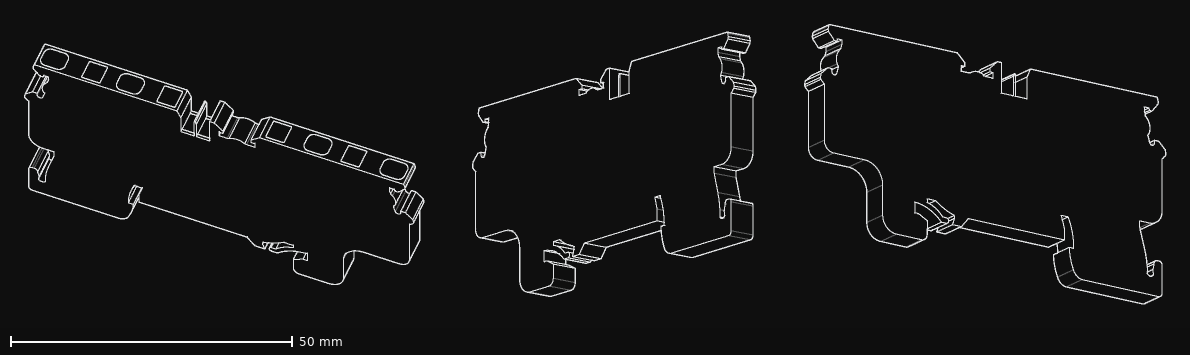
import cadquery as cq

LENGTH = 74.7
THICKNESS = 5.0
HEIGHT = 37.4

SIDE_X = 36.5
TOP_END_X = 35.7
CORE_X = 31.4
LATCH_Z = 26.0
SHOULDER_Z = 13.45
RAIL_Z = 6.7
LUG_Z = 4.9
LEFT_SHOULDER_R = 2.7
RIGHT_SHOULDER_R = 2.0

TOP_CORNER = 0.3
NOSE_TIP_X = LENGTH / 2
NOSE_TIP_Z = 27.1
NOSE_TOP_Z = 29.2
NOSE_TOP_WIDTH = 0.9
NOSE_INNER_X = 34.9
NOSE_GROOVE_Z = 28.15
LATCH_NOTCH_X = 32.7
LATCH_NOTCH_TOP_Z = 35.0
BUMP_X = 33.9
BUMP_LOW_Z = 30.3
BUMP_HIGH_Z = 32.95
LIP_X = 33.7
LIP_WIDTH = 0.7
LIP_Z = 34.6
OVERHANG_Z = 36.1

SLOT_LEFT_X = -7.3
SLOT_RIGHT_X = -1.8
SLOT_FLOOR_Z = 31.7
SLOT_LEAD_IN_X = 0.75
SLOT_LEAD_IN_Z = 1.65
BLADE_LEFT_X = -4.8
BLADE_WIDTH = 0.45
BLADE_TIP_Z = 35.85
BLADE_TIP_DROP = 0.5

GROOVE_MID_X = 3.4
GROOVE_FLOOR_Z = 34.15
GROOVE_HALF = 3.4
GROOVE_LIP_HALF = 2.7
GROOVE_MOUTH_HALF = 4.3
GROOVE_LIP_LOW_Z = 35.2
GROOVE_LIP_HIGH_Z = 35.85
SADDLE_HALF = 1.5
SADDLE_FOOT_HALF = 1.9
SADDLE_FOOT_RISE = 0.1
SADDLE_RISE = 0.6

FOOT_OVERLAP_Z = SHOULDER_Z + 1.5
LEFT_NECK_X = -31.7
HOOK_GROOVE_X = -33.3
HOOK_GROOVE_Z = 3.5
HOOK_CORNER_R = 0.7
SOLE_CORNER_R = 0.75
CLAW_X = -16.4
CLAW_DEPTH = 1.0
CLAW_Z = 5.5
RELIEF_LEFT_X = -16.2
RELIEF_RIGHT_X = -14.7
RELIEF_Z = 11.2
RAIL_LEFT_X = -15.4
LUG_LEFT_X = 6.9
LUG_RIGHT_X = 8.8
TONGUE_ROOT_X = 14.3
TONGUE_GAP_TOP_Z = 8.75
TONGUE_ROOT_Z = 8.1
TONGUE_TIP_X = 9.6
TONGUE_TIP_Z = 6.0
RIGHT_FOOT_LEFT_X = 14.3
RIGHT_FOOT_RIGHT_X = 23.9
RIGHT_FOOT_Z = 0.8
RIGHT_FOOT_TOE_R = 1.2
RIGHT_FOOT_HEEL_R = 3.0
RIGHT_FOOT_NECK_R = 3.95
RAIL_GROOVE_X = 16.95
RAIL_GROOVE_LOW_Z = 5.6
RAIL_GROOVE_HIGH_Z = 7.6

ROUND_RECESSES_X = (32.6, 18.0)
SQUARE_RECESSES_X = (24.9, 10.45)
ROUND_RECESS_LENGTH = 4.6
SQUARE_RECESS_LENGTH = 3.5
RECESS_WIDTH = 3.8
ROUND_RECESS_R = 1.2
SQUARE_RECESS_R = 0.15
RECESS_DEPTH = 0.1


def start(x, z):
    """Begin a side profile at X, Z."""
    return cq.Workplane("XZ").moveTo(x, z)


def through(profile):
    """Close a side profile and extrude it over the whole thickness."""
    return profile.close().extrude(THICKNESS / 2, both=True)


def block(x_low, x_high, z_low, z_high):
    """Rectangular slab over the whole thickness."""
    corners = [(x_high, z_low), (x_high, z_high), (x_low, z_high)]
    return through(start(x_low, z_low).polyline(corners, includeCurrent=True))


def housing():
    """Flat-sided body with rounded shoulders, and the narrower core above it."""
    body = block(-SIDE_X, SIDE_X, SHOULDER_Z, LATCH_Z)
    body = body.edges("|Y and <X and <Z").fillet(LEFT_SHOULDER_R)
    body = body.edges("|Y and >X and <Z").fillet(RIGHT_SHOULDER_R)
    return body.union(block(-CORE_X, CORE_X, LATCH_Z, HEIGHT))


def latch_end():
    """Right-hand end: a snap nose, a round bump and an overhanging top corner."""
    profile = start(CORE_X, LATCH_Z).lineTo(SIDE_X, LATCH_Z)
    profile = (
        profile
        .lineTo(NOSE_TIP_X - 0.1, NOSE_TIP_Z - 0.4)
        .lineTo(NOSE_TIP_X, NOSE_TIP_Z)
        .lineTo(NOSE_TIP_X - 0.15, NOSE_TIP_Z + 0.75)
        .lineTo(NOSE_INNER_X + NOSE_TOP_WIDTH, NOSE_TOP_Z)
        .lineTo(NOSE_INNER_X, NOSE_TOP_Z)
    )
    profile = (
        profile
        .lineTo(NOSE_INNER_X, NOSE_GROOVE_Z + 0.5)
        .threePointArc((34.35, NOSE_GROOVE_Z), (33.85, NOSE_GROOVE_Z + 0.4))
        .lineTo(BUMP_X - 0.45, BUMP_LOW_Z - 0.45)
    )
    profile = (
        profile
        .lineTo(BUMP_X - 0.15, BUMP_LOW_Z)
        .threePointArc((BUMP_X, 31.5), (BUMP_X - 0.6, BUMP_HIGH_Z))
        .lineTo(BUMP_X - 1.0, BUMP_HIGH_Z + 0.45)
    )
    profile = (
        profile
        .lineTo(LATCH_NOTCH_X, LATCH_NOTCH_TOP_Z - 0.8)
        .lineTo(LATCH_NOTCH_X, LATCH_NOTCH_TOP_Z)
        .lineTo(LIP_X, LATCH_NOTCH_TOP_Z)
        .lineTo(LIP_X + 0.1, LIP_Z)
        .lineTo(LIP_X + LIP_WIDTH, LIP_Z)
    )
    profile = (
        profile
        .lineTo(TOP_END_X - 0.1, OVERHANG_Z)
        .lineTo(TOP_END_X, OVERHANG_Z + 0.45)
        .lineTo(TOP_END_X - TOP_CORNER / 2, HEIGHT - TOP_CORNER)
        .lineTo(TOP_END_X - TOP_CORNER, HEIGHT)
        .lineTo(CORE_X, HEIGHT)
    )
    return through(profile)


def left_foot():
    """Fixed foot with an upright hook on its outer side and a claw for the rail."""
    profile = (
        start(LEFT_NECK_X, FOOT_OVERLAP_Z)
        .lineTo(LEFT_NECK_X, 12.25)
        .lineTo(-32.7, 8.5)
        .threePointArc((-33.1, 6.9), (HOOK_GROOVE_X, 5.2))
        .lineTo(HOOK_GROOVE_X, HOOK_GROOVE_Z + 0.4)
        .threePointArc((-34.0, HOOK_GROOVE_Z), (-34.65, HOOK_GROOVE_Z + 0.4))
    )
    profile = (
        profile
        .lineTo(-34.5, 4.85)
        .lineTo(-34.8, 6.0)
        .threePointArc((-35.0, 6.6), (-35.5, RAIL_Z))
        .lineTo(HOOK_CORNER_R - SIDE_X, RAIL_Z)
        .radiusArc((-SIDE_X, RAIL_Z - HOOK_CORNER_R), -HOOK_CORNER_R)
    )
    profile = (
        profile
        .lineTo(-SIDE_X, SOLE_CORNER_R)
        .radiusArc((SOLE_CORNER_R - SIDE_X, 0), -SOLE_CORNER_R)
        .lineTo(-19.2, 0)
        .threePointArc((-18.0, 0.5), (-17.3, 1.5))
        .threePointArc((-16.65, 3.65), (CLAW_X, CLAW_Z))
    )
    profile = (
        profile
        .lineTo(CLAW_X - CLAW_DEPTH, CLAW_Z)
        .threePointArc((-17.1, 8.45), (RELIEF_LEFT_X, RELIEF_Z))
        .lineTo(RELIEF_LEFT_X, FOOT_OVERLAP_Z)
    )
    return through(profile)


def rail_body():
    """Part between the feet: rail face, with a lug beside the tongue gap."""
    profile = (
        start(RELIEF_LEFT_X, FOOT_OVERLAP_Z)
        .lineTo(RELIEF_LEFT_X, RELIEF_Z)
        .lineTo(RELIEF_RIGHT_X, RELIEF_Z)
        .lineTo(RAIL_LEFT_X, 8.9)
        .lineTo(RAIL_LEFT_X, RAIL_Z)
        .lineTo(LUG_LEFT_X - 1.5, RAIL_Z)
    )
    profile = (
        profile
        .lineTo(LUG_LEFT_X, LUG_Z)
        .lineTo(LUG_RIGHT_X, LUG_Z)
        .lineTo(LUG_RIGHT_X - 0.45, 6.2)
        .lineTo(LUG_RIGHT_X - 0.4, RAIL_Z)
        .threePointArc((10.5, 7.55), (12.5, TONGUE_GAP_TOP_Z))
        .lineTo(TONGUE_ROOT_X, TONGUE_GAP_TOP_Z)
        .lineTo(TONGUE_ROOT_X, FOOT_OVERLAP_Z)
    )
    return through(profile)


def right_foot():
    """Release foot, with the rail groove and the curved spring tongue above it."""
    toe_x = RIGHT_FOOT_LEFT_X + RIGHT_FOOT_TOE_R
    heel_x = RIGHT_FOOT_RIGHT_X - RIGHT_FOOT_HEEL_R
    heel_z = RIGHT_FOOT_Z + RIGHT_FOOT_HEEL_R
    neck_x = RIGHT_FOOT_RIGHT_X + RIGHT_FOOT_NECK_R
    profile = (
        start(TONGUE_ROOT_X, FOOT_OVERLAP_Z)
        .lineTo(TONGUE_ROOT_X, TONGUE_ROOT_Z)
        .threePointArc((12.5, 7.3), (10.9, TONGUE_TIP_Z))
        .lineTo(TONGUE_TIP_X + 0.4, TONGUE_TIP_Z)
        .threePointArc((TONGUE_TIP_X, 5.45), (TONGUE_TIP_X + 0.4, LUG_Z))
        .lineTo(11.2, LUG_Z)
        .threePointArc((13.75, 6.8), (RAIL_GROOVE_X, RAIL_GROOVE_HIGH_Z))
    )
    profile = (
        profile
        .lineTo(RAIL_GROOVE_X, RAIL_GROOVE_LOW_Z)
        .lineTo(RAIL_GROOVE_X - 0.8, RAIL_GROOVE_LOW_Z)
        .lineTo(RIGHT_FOOT_LEFT_X, 4.6)
    )
    profile = (
        profile
        .lineTo(RIGHT_FOOT_LEFT_X, RIGHT_FOOT_Z + RIGHT_FOOT_TOE_R)
        .radiusArc((toe_x, RIGHT_FOOT_Z), -RIGHT_FOOT_TOE_R)
        .lineTo(heel_x, RIGHT_FOOT_Z)
        .radiusArc((RIGHT_FOOT_RIGHT_X, heel_z), -RIGHT_FOOT_HEEL_R)
        .lineTo(RIGHT_FOOT_RIGHT_X, SHOULDER_Z - RIGHT_FOOT_NECK_R)
        .radiusArc((neck_x, SHOULDER_Z), RIGHT_FOOT_NECK_R)
        .lineTo(neck_x, FOOT_OVERLAP_Z)
    )
    return through(profile)


def marker_slot():
    """Open slot in the top edge, chamfered on its left."""
    return through(
        start(SLOT_LEFT_X, SLOT_FLOOR_Z)
        .lineTo(SLOT_RIGHT_X, SLOT_FLOOR_Z)
        .lineTo(SLOT_RIGHT_X, HEIGHT)
        .lineTo(SLOT_LEFT_X - SLOT_LEAD_IN_X, HEIGHT)
        .lineTo(SLOT_LEFT_X, HEIGHT - SLOT_LEAD_IN_Z)
    )


def blade():
    """Thin upright blade standing in the marker slot, bevelled at its tip."""
    right_x = BLADE_LEFT_X + BLADE_WIDTH
    return through(
        start(BLADE_LEFT_X, SLOT_FLOOR_Z - RECESS_DEPTH)
        .lineTo(right_x, SLOT_FLOOR_Z - RECESS_DEPTH)
        .lineTo(right_x, BLADE_TIP_Z - BLADE_TIP_DROP)
        .lineTo(BLADE_LEFT_X + BLADE_WIDTH / 2, BLADE_TIP_Z)
        .lineTo(BLADE_LEFT_X, BLADE_TIP_Z)
    )


def label_groove():
    """Undercut groove in the top edge with a round saddle on its floor."""
    def from_middle(half_width):
        return GROOVE_MID_X + half_width

    saddle_edge_z = GROOVE_FLOOR_Z + SADDLE_FOOT_RISE
    right_side = [
        (SADDLE_FOOT_HALF, GROOVE_FLOOR_Z),
        (GROOVE_HALF, GROOVE_FLOOR_Z),
        (GROOVE_HALF, GROOVE_LIP_LOW_Z),
        (GROOVE_LIP_HALF, GROOVE_LIP_LOW_Z),
        (GROOVE_LIP_HALF, GROOVE_LIP_HIGH_Z),
        (GROOVE_MOUTH_HALF, HEIGHT),
    ]
    saddle_top = (GROOVE_MID_X, GROOVE_FLOOR_Z + SADDLE_RISE)
    profile = start(from_middle(-SADDLE_HALF), saddle_edge_z)
    profile = profile.threePointArc(saddle_top, (from_middle(SADDLE_HALF), saddle_edge_z))
    for half_width, z in right_side:
        profile = profile.lineTo(from_middle(half_width), z)
    for half_width, z in reversed(right_side):
        profile = profile.lineTo(from_middle(-half_width), z)
    return through(profile)


def recess(x, floor_z, length, corner_r):
    """Shallow recess with rounded corners, open upwards."""
    floor = cq.Workplane("XY", origin=(x, 0, floor_z))
    pocket = floor.rect(length, RECESS_WIDTH).extrude(RECESS_DEPTH)
    return pocket.edges("|Z").fillet(corner_r)


def cut_top_recesses(body):
    """Alternating round and square recesses, mirrored about the middle."""
    floor_z = HEIGHT - RECESS_DEPTH
    for side in (-1, 1):
        for x in ROUND_RECESSES_X:
            body = body.cut(recess(side * x, floor_z, ROUND_RECESS_LENGTH, ROUND_RECESS_R))
        for x in SQUARE_RECESSES_X:
            body = body.cut(recess(side * x, floor_z, SQUARE_RECESS_LENGTH, SQUARE_RECESS_R))
    return body


def slot_floor_recess():
    """Shallow band along the slot floor, as wide as the top recesses."""
    slot_length = SLOT_RIGHT_X - SLOT_LEFT_X
    middle_x = (SLOT_LEFT_X + SLOT_RIGHT_X) / 2
    band = cq.Workplane("XY", origin=(middle_x, 0, SLOT_FLOOR_Z))
    return band.rect(slot_length, RECESS_WIDTH).extrude(-RECESS_DEPTH)


right_latch = latch_end()
result = (
    housing()
    .union(right_latch)
    .union(right_latch.mirror("YZ"))
    .union(left_foot())
    .union(rail_body())
    .union(right_foot())
    .cut(marker_slot())
    .cut(slot_floor_recess())
    .union(blade())
    .cut(label_groove())
)
result = cut_top_recesses(result).solids()